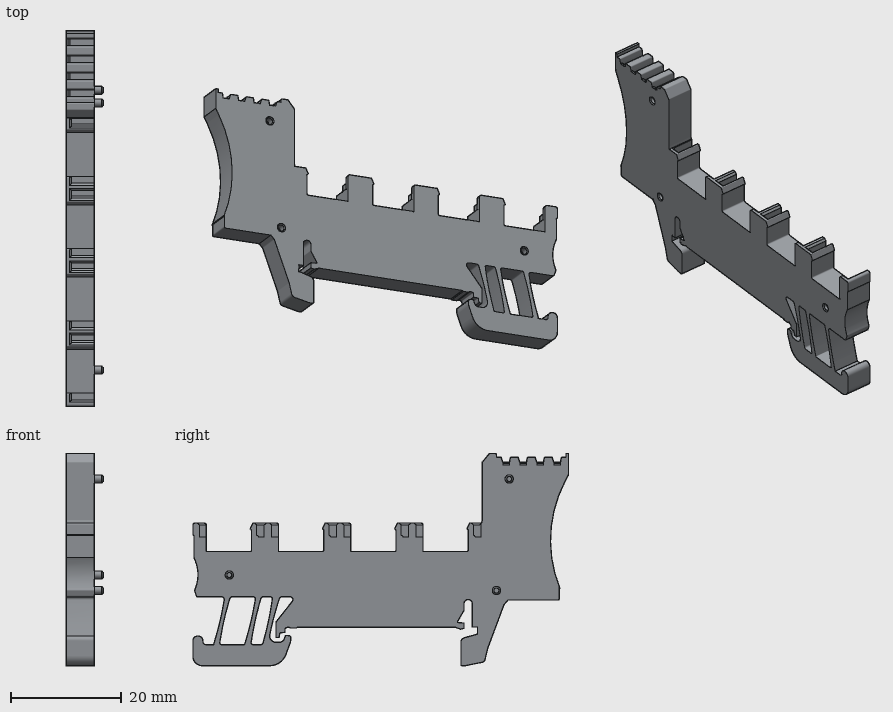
import cadquery as cq
import math


LENGTH = 67.9
HEIGHT = 38.35
TOTAL_WIDTH = 6.7
BODY_WIDTH = 5.1
PIN_LENGTH = TOTAL_WIDTH - BODY_WIDTH

POST_TOP = 25.8
GAP_FLOOR = 20.65
POST_PITCH = 13.05
POST_WIDTH = 4.9
GAP_WIDTH = POST_PITCH - POST_WIDTH
GAP_COUNT = 4
FIRST_GAP_START = 2.45
POST_CORNER = 0.4
LIP_OVERHANG = 0.25
LIP_HEIGHT = 1.05
LIP_UNDERCUT = 0.25
LIP_SETBACK = 0.25
FLOOR_FILLET = 0.25

POCKET_WALL = 0.98
POCKET_DEPTH = 2.5
POCKET_CHAMFER = 0.38
SHOULDER_LENGTH = 1.25
SLOT_START = 0.95
SLOT_LENGTH = 1.35
SLOT_FLOOR_BEVEL = 0.35

TOWER_FRONT = 52.25
TOE_LENGTH = 0.1
TOE_FRONT = TOWER_FRONT - TOE_LENGTH
TOE_HEIGHT = 0.45
TOOTH_TOP = 37.7
TOOTH_ROOT = 36.8
TOOTH_PITCH = 3.07
TOOTH_GAP_COUNT = 4
FIRST_TOOTH_GAP = 66.55
TOOTH_GAP_MOUTH = 1.65
TOOTH_GAP_HIGH_SLOPE = 0.15
TOOTH_GAP_LOW_SLOPE = 0.3
TOOTH_SLOT_WALL = 0.65
TOOTH_SLOT_CHAMFER = 0.3
TOOTH_SLOT_DEPTH = 0.5

TOWER_UNDERSIDE = 11.85
RAIL_SEAT = 6.95
SPRING_TOP = 12.45
FOOT_TOP = 3.85
SPRING_BOW = 50.0

PIN_CENTRES = [(57.15, 33.75), (54.85, 13.6), (6.6, 16.4)]
PIN_DIAMETER = 1.5
PIN_CHAMFER = 0.3
SOCKET_DIAMETER = 1.2
SOCKET_MOUTH_DIAMETER = 1.6
SOCKET_DEPTH = 1.8

CLEARANCE = 1.0


def rounded_profile(corners):
    """Closed YZ profile through corners (y, z, radius); radius 0 keeps the corner sharp."""
    path = None
    count = len(corners)
    for index, (y, z, radius) in enumerate(corners):
        before = corners[index - 1]
        after = corners[(index + 1) % count]
        to_before = cq.Vector(before[0] - y, before[1] - z).normalized()
        to_after = cq.Vector(after[0] - y, after[1] - z).normalized()
        corner = cq.Vector(y, z)
        half_angle = to_before.getAngle(to_after) / 2
        setback = radius / math.tan(half_angle)
        entry = corner + to_before * setback
        if path is None:
            path = cq.Workplane("YZ").moveTo(entry.x, entry.y)
        else:
            path = path.lineTo(entry.x, entry.y)
        if radius > 0:
            leave = corner + to_after * setback
            bisector = (to_before + to_after).normalized()
            middle = corner + bisector * (radius / math.sin(half_angle) - radius)
            path = path.threePointArc((middle.x, middle.y), (leave.x, leave.y))
    return path.close()


def tower_top_corners():
    """Toothed crest of the tower, from the high-Y end to the tower front."""
    corners = [
        (LENGTH, HEIGHT, 0),
        (67.4, HEIGHT, 0),
        (67.4, TOOTH_TOP, 0),
    ]
    for index in range(TOOTH_GAP_COUNT):
        high = FIRST_TOOTH_GAP - index * TOOTH_PITCH
        low = high - TOOTH_GAP_MOUTH
        corners += [
            (high, TOOTH_TOP, 0.25),
            (high - TOOTH_GAP_HIGH_SLOPE, TOOTH_ROOT, 0),
            (low + TOOTH_GAP_LOW_SLOPE, TOOTH_ROOT, 0),
            (low, TOOTH_TOP, 0.2),
        ]
    corners += [
        (54.9, TOOTH_TOP, 0),
        (54.9, HEIGHT, 0.3),
        (53.55, HEIGHT, 0.3),
        (TOWER_FRONT, 36.75, 0.3),
        (TOWER_FRONT, POST_TOP + TOE_HEIGHT, 0),
        (TOE_FRONT, POST_TOP, 0),
    ]
    return corners


def gap_starts():
    """Low-Y side of every gap between posts, from the tower towards the spring foot."""
    return [FIRST_GAP_START + index * POST_PITCH for index in reversed(range(GAP_COUNT))]


def post_row_corners():
    """Gaps between the posts, each entered over the snap lip of the post before it."""
    corners = []
    for low in gap_starts():
        high = low + GAP_WIDTH
        lip_bottom = POST_TOP - LIP_HEIGHT
        corners += [
            (high + LIP_SETBACK, POST_TOP, 0.15),
            (high - LIP_OVERHANG, lip_bottom, 0),
            (high, lip_bottom - LIP_UNDERCUT, 0),
            (high, GAP_FLOOR, FLOOR_FILLET),
            (low, GAP_FLOOR, 0),
            (low, POST_TOP, POST_CORNER),
        ]
    return corners


def end_face_corners():
    """Low-Y end: snap lip, finger hollow and the underside out to the spring."""
    return [
        (0, POST_TOP, POST_CORNER),
        (0, 23.7, 0),
        (0.2, 23.5, 0),
        (0.2, 19.55, 0),
        (1.45, 16.6, 6.8),
        (0.3, 13.6, 0.3),
        (0.7, SPRING_TOP, 0.3),
    ]


def spring_foot_corners():
    """Outer spring leg, foot with its hook, and the slit beside the fixed claw."""
    return [
        (5.75, SPRING_TOP, 0.5),
        (5.05, 8.3, SPRING_BOW),
        (3.75, FOOT_TOP, 0),
        (1.85, FOOT_TOP, 0.5),
        (1.85, 5.4, 0.9),
        (0, 5.4, 0.9),
        (0, 0, 1.75),
        (16.1, 0, 3.2),
        (17.7, 4.4, 1.5),
        (17.7, 5.4, 0.3),
        (16.75, 5.55, 0.3),
        (16.3, 4.27, 0.9),
        (13.65, 4.27, 1.1),
        (14.55, 8.6, SPRING_BOW),
        (15.75, SPRING_TOP, 0.5),
        (18.6, SPRING_TOP, 0.5),
        (15.0, 7.9, 0.5),
        (15.0, 5.1, 0),
        (15.6, 5.1, 0),
        (15.75, 5.95, 0.2),
        (16.65, 6.0, 0),
        (16.7, 6.8, 0.2),
        (17.3, 7.0, 0),
        (17.7, 6.8, 0),
        (18.7, 6.8, 0),
        (18.9, RAIL_SEAT, 0),
    ]


def fixed_foot_corners():
    """Rail claw under the tower: rail nose, relief slot and the slanted leg."""
    return [
        (47.4, RAIL_SEAT, 0),
        (48.35, 6.6, 0),
        (49.0, 6.75, 0),
        (49.0, 7.75, 0),
        (47.75, 7.85, 0.1),
        (49.0, 10.0, 0.3),
        (49.0, 11.95, 0.7),
        (50.45, 11.95, 0.7),
        (50.45, 7.0, 0),
        (51.4, 7.0, 0),
        (51.4, 5.75, 0),
        (48.4, 4.9, 0.9),
        (48.4, 0, 0.3),
        (49.2, 0, 0.2),
        (52.7, 0.7, 0.8),
        (53.3, 3.2, 1.0),
        (56.25, 11.1, 0.5),
        (56.95, TOWER_UNDERSIDE, 0),
    ]


def tower_back_corners():
    """Back of the tower with its long concave thumb rest."""
    return [
        (66.2, TOWER_UNDERSIDE, 0.3),
        (66.2, 14.3, 0),
        (62.3, 23.9, 23.0),
        (LENGTH, 34.55, 0),
    ]


def plate():
    corners = tower_top_corners() + post_row_corners() + end_face_corners()
    corners += spring_foot_corners() + fixed_foot_corners() + tower_back_corners()
    return rounded_profile(corners).extrude(BODY_WIDTH)


def spring_windows():
    """Two slanted openings that leave thin bowed spring legs between them."""
    narrow = [
        (14.4, SPRING_TOP, 0.35),
        (13.85, 8.6, SPRING_BOW),
        (12.6, FOOT_TOP, 0.35),
        (10.5, FOOT_TOP, 0.3),
        (11.25, 8.4, SPRING_BOW),
        (12.4, SPRING_TOP, 0.4),
    ]
    wide = [
        (11.35, SPRING_TOP, 0.35),
        (10.65, 8.3, SPRING_BOW),
        (9.35, FOOT_TOP, 0.1),
        (4.85, FOOT_TOP, 0.3),
        (5.55, 8.3, SPRING_BOW),
        (6.8, SPRING_TOP, 0.4),
    ]
    openings = rounded_profile(narrow).extrude(BODY_WIDTH)
    return openings.union(rounded_profile(wide).extrude(BODY_WIDTH))


def post_pocket(low, high, chamfer_high):
    """Pocket between two Y positions with a chamfered mouth, open on +X."""
    reach = BODY_WIDTH + CLEARANCE
    pocket = cq.Workplane("XY").box(
        reach - POCKET_WALL, high - low, POCKET_DEPTH, centered=False
    ).translate((POCKET_WALL, low, POST_TOP - POCKET_DEPTH))
    mouth_high = high + chamfer_high
    mouth_low = low - POCKET_CHAMFER
    mouth_wall = POCKET_WALL - POCKET_CHAMFER
    mouth = (
        cq.Workplane("XY", origin=(0, 0, POST_TOP))
        .moveTo((mouth_wall + reach) / 2, (mouth_low + mouth_high) / 2)
        .rect(reach - mouth_wall, mouth_high - mouth_low)
        .extrude(-POCKET_CHAMFER, taper=45)
    )
    return pocket.union(mouth)


def slot_floor_bevel(slot_low):
    """Sloped strip of material left along the low-Y edge of a slot floor."""
    floor = POST_TOP - POCKET_DEPTH
    section = [
        (slot_low, floor),
        (slot_low + SLOT_FLOOR_BEVEL, floor),
        (slot_low, floor + SLOT_FLOOR_BEVEL),
    ]
    return cq.Workplane("YZ").polyline(section).close().extrude(BODY_WIDTH + CLEARANCE)


def cut_post_pockets(body):
    for gap_low in gap_starts():
        shoulder_low = gap_low - SHOULDER_LENGTH
        body = body.cut(post_pocket(shoulder_low, gap_low + CLEARANCE, 0))

        slot_low = gap_low + GAP_WIDTH + SLOT_START
        slot_high = slot_low + SLOT_LENGTH
        mouth_chamfer = min(POCKET_CHAMFER, TOE_FRONT - slot_high)
        slot = post_pocket(slot_low, slot_high, mouth_chamfer)
        body = body.cut(slot.cut(slot_floor_bevel(slot_low)))
    return body


def cut_tooth_slots(body):
    """Deepen each tooth gap behind a thin wall on the X = 0 side."""
    slot_bottom = TOOTH_ROOT - TOOTH_SLOT_DEPTH
    section = [
        (TOOTH_SLOT_WALL - TOOTH_SLOT_CHAMFER, TOOTH_ROOT),
        (TOOTH_SLOT_WALL, TOOTH_ROOT - TOOTH_SLOT_CHAMFER),
        (TOOTH_SLOT_WALL, slot_bottom),
        (BODY_WIDTH, slot_bottom),
        (BODY_WIDTH, TOOTH_ROOT),
    ]
    slot_length = TOOTH_GAP_MOUTH - TOOTH_GAP_HIGH_SLOPE - TOOTH_GAP_LOW_SLOPE
    for index in range(TOOTH_GAP_COUNT):
        high = FIRST_TOOTH_GAP - TOOTH_GAP_HIGH_SLOPE - index * TOOTH_PITCH
        slot = cq.Workplane("XZ", origin=(0, high, 0)).polyline(section).close().extrude(slot_length)
        body = body.cut(slot)
    return body


def coupling_pins():
    return (
        cq.Workplane("YZ", origin=(BODY_WIDTH, 0, 0))
        .pushPoints(PIN_CENTRES)
        .circle(PIN_DIAMETER / 2)
        .extrude(PIN_LENGTH)
        .faces(">X")
        .chamfer(PIN_CHAMFER)
    )


def pin_sockets():
    """Blind sockets with a 45 degree lead-in."""
    lead_in = (SOCKET_MOUTH_DIAMETER - SOCKET_DIAMETER) / 2
    face = cq.Workplane("YZ").pushPoints(PIN_CENTRES)
    bores = face.circle(SOCKET_DIAMETER / 2).extrude(SOCKET_DEPTH)
    mouths = face.circle(SOCKET_MOUTH_DIAMETER / 2).extrude(lead_in, taper=45)
    return bores.union(mouths)


body = plate().cut(spring_windows())
body = cut_post_pockets(body)
body = cut_tooth_slots(body)
body = body.cut(pin_sockets())
result = body.union(coupling_pins())